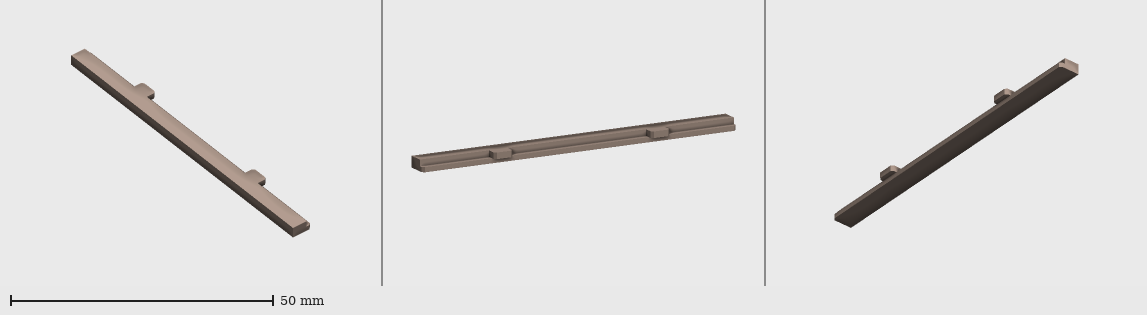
import cadquery as cq

length = 68.0
overall_depth = 5.6
height = 2.3

bar_depth = 3.3
ledge_depth = 1.15
ledge_height = 1.0

tab_width = 4.0
tab_spacing = length / 2
tab_depth = overall_depth - bar_depth
tab_height = height - ledge_height

corner_chamfer = 0.5

front_y = -overall_depth / 2
step_y = front_y + bar_depth


def block(width, depth, block_height, start_y, start_z):
    """Box centred on X, starting at the given Y and Z."""
    return (
        cq.Workplane("XY")
        .box(width, depth, block_height, centered=(True, False, False))
        .translate((0, start_y, start_z))
    )


def chamfer_back_corners(body):
    """Bevel the vertical edges at both ends of the back face."""
    return body.faces(">Y").edges("|Z").chamfer(corner_chamfer)


bar = block(length, bar_depth, height, front_y, 0)
ledge = chamfer_back_corners(block(length, ledge_depth, ledge_height, step_y, 0))
tab = chamfer_back_corners(block(tab_width, tab_depth, tab_height, step_y, ledge_height))

result = bar.union(ledge)
for tab_x in (-tab_spacing / 2, tab_spacing / 2):
    result = result.union(tab.translate((tab_x, 0, 0)))